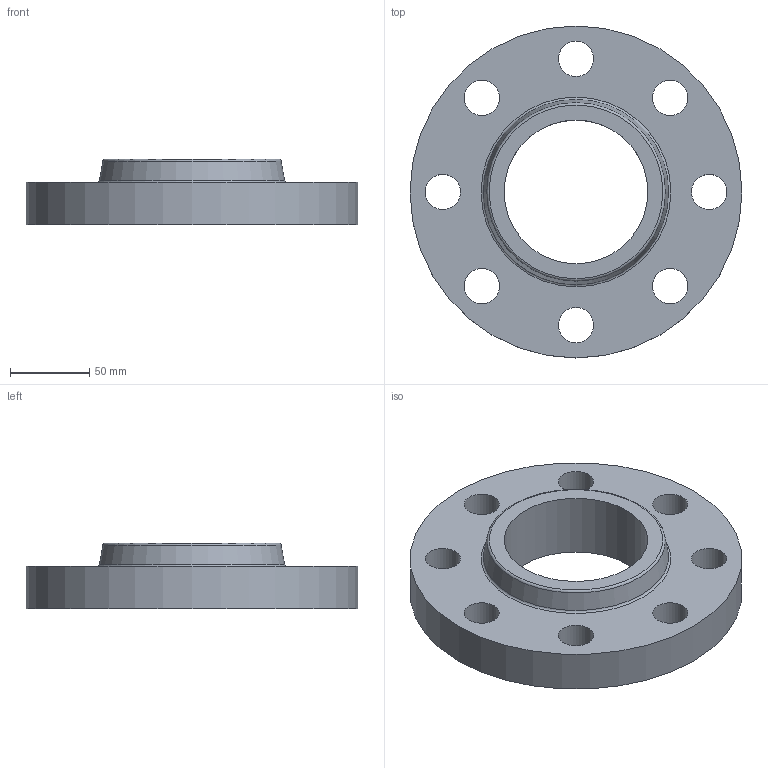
import cadquery as cq

flange_diameter = 209.55
flange_thickness = 26.9

total_height = 41.4
hub_height = total_height - flange_thickness
hub_base_diameter = 117.3
hub_draft_angle = 10.0
hub_top_radius = 1.5
hub_root_radius = 1.5

bore_diameter = 90.7
bolt_circle_diameter = 168.1
bolt_hole_diameter = 22.3
bolt_hole_count = 8


def make_plate():
    return cq.Workplane("XY").circle(flange_diameter / 2).extrude(flange_thickness)


def make_hub():
    """Cone that narrows upward from the plate's upper face, rounded at its top edge."""
    hub = (
        cq.Workplane("XY")
        .workplane(offset=flange_thickness)
        .circle(hub_base_diameter / 2)
        .extrude(hub_height, taper=hub_draft_angle)
    )
    return hub.faces(">Z").edges().fillet(hub_top_radius)


def round_hub_root(body):
    """Fillet the corner where the hub meets the plate."""
    plate_upper_face = body.faces("|Z").faces(">Z[-2]")
    inner_edge = cq.selectors.RadiusNthSelector(0)
    return plate_upper_face.edges(inner_edge).fillet(hub_root_radius)


def cut_bore(body):
    bore = cq.Workplane("XY").circle(bore_diameter / 2).extrude(total_height)
    return body.cut(bore)


def cut_bolt_holes(body):
    """Through holes evenly spaced on the bolt circle, the first one on the X axis."""
    holes = (
        cq.Workplane("XY")
        .polarArray(bolt_circle_diameter / 2, 0, 360, bolt_hole_count)
        .circle(bolt_hole_diameter / 2)
        .extrude(flange_thickness)
    )
    return body.cut(holes)


body = make_plate().union(make_hub())
body = round_hub_root(body)
body = cut_bore(body)
result = cut_bolt_holes(body)